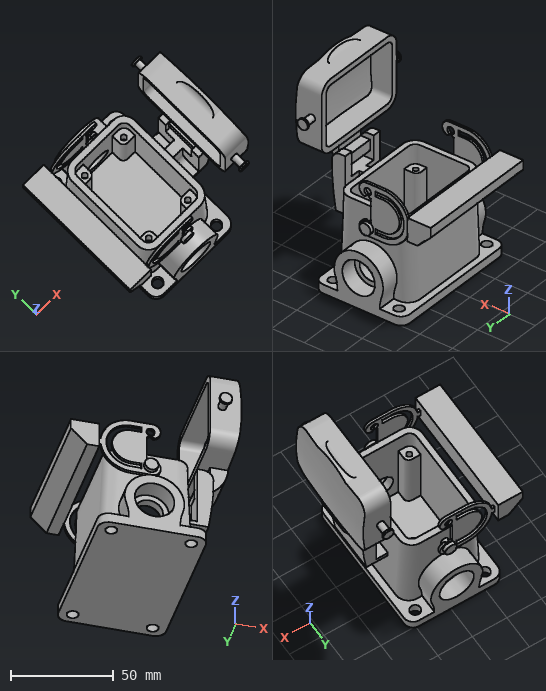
import cadquery as cq
import math


FLANGE_LENGTH_X = 54.5
FLANGE_LENGTH_Y = 82.0
FLANGE_HEIGHT = 5.4
FLANGE_CORNER_RADIUS = 5.4
MOUNT_HOLE_DIAMETER = 5.7
MOUNT_HOLE_X = 20.2
MOUNT_HOLE_Y = 34.9

BOX_TOP_X = 43.1
BOX_BOTTOM_X = 46.7
BOX_Y = 59.9
BOX_CORNER_RADIUS = 7.6
RIM_BASE_Z = 48.6
HOUSING_TOP_Z = 54.0
WALL = 3.5

POST_TOP_Z = 42.4
POST_LENGTH_X = 8.0
POST_LENGTH_Y = 7.6
POST_CORNER_RADIUS = 3.0
POST_HOLE_X = 13.4
POST_HOLE_Y = 22.0
POST_HOLE_DIAMETER = 3.1
POST_HOLE_DEPTH = 11.5

ENTRY_AXIS_Z = 18.2
ENTRY_RADIUS = 15.0
ENTRY_FOOT_HALF_WIDTH = 13.0
ENTRY_BORE_RADIUS = 7.0
ENTRY_COUNTERBORE_RADIUS = 10.0
ENTRY_COUNTERBORE_DEPTH = 9.9

BRACKET_WIDTH = 27.8
BRACKET_FLOOR_BOTTOM_Z = 28.8
BRACKET_FLOOR_TOP_Z = 31.0
RIB_WIDTH = 5.8
RIB_FILLET = 3.9
ARM_FRONT_X = 29.0
ARM_BACK_X = 37.2
ARM_FOOT_X = 34.8
ARM_TOP_Z = 63.0
ARM_TOP_RADIUS = 5.3
HINGE_WIDTH = 17.5

COVER_FRONT_X = 31.2
COVER_BACK_X = 48.0
COVER_CENTER_Z = 91.0
COVER_Y = BOX_Y
COVER_Z = 43.1
COVER_WALL = 3.5
COVER_BACK_WALL = 2.7
DOME_RADIUS_ACROSS_Z = 119.1
DOME_RADIUS_ACROSS_Y = 486.9
COVER_PIN_X = 37.1
COVER_PIN_RADIUS = 2.1
COVER_PIN_HEAD_RADIUS = 3.1
COVER_PIN_HEAD_THICKNESS = 1.1
COVER_PIN_END_Y = 37.3

LIP_TOP_Z = 114.6
LIP_HALF_WIDTH = 12.4
LIP_HOLLOW_START_X = 40.0
LIP_HOLLOW_RADIUS = 4.4

HINGE_ARM_FRONT_X = 36.9
HINGE_ARM_BACK_X = 46.2
HINGE_ARM_MID = (44.1, 61.9)
HINGE_BAR_TOP_Z = 59.7
HINGE_BAR_BOTTOM_Z = 53.3
HINGE_BAR_BACK_X = 36.0

LEVER_CENTER_Z = 54.5
LEVER_PLATE_INNER_Y = 32.3
LEVER_PLATE_THICKNESS = 1.5
LEVER_RADIUS = 15.5
LEVER_ARC_X = -9.7
LEVER_EDGE_X = -2.0
SLOT_OUTER_RADIUS = 12.5
SLOT_INNER_RADIUS = 9.6
SLOT_END_X = -4.6
HOOK_RADIUS = 4.2
HOOK_X = 0.9
HOOK_HOLE_HEIGHT = 10.5
HOOK_MOUTH_OVERLAP = 0.2
HANDLE_WIDTH = 73.8
HANDLE_LEFT_X = -41.0
HANDLE_RIGHT_X = -26.7
HANDLE_TOP_Z = 62.4
HANDLE_BOTTOM_Z = 48.6
HANDLE_CHAMFER = 8.1
TAB_HEIGHT = 4.0

PIVOT_RADIUS = 2.1
PIVOT_HEAD_RADIUS = 3.4
PIVOT_HEAD_END_Y = 36.0

HOOK_TOP_OFFSET = LEVER_RADIUS - HOOK_RADIUS
PIVOT_Z = LEVER_CENTER_Z - HOOK_HOLE_HEIGHT
COVER_TOP_Z = COVER_CENTER_Z + COVER_Z / 2
COVER_BOTTOM_Z = COVER_CENTER_Z - COVER_Z / 2
SIDES = (-1, 1)


def rounded_rectangle(length_x, length_y, radius):
    return cq.Sketch().rect(length_x, length_y).vertices().fillet(radius)


def side_workplane(y):
    """XZ drawing plane at the given Y; extrusions grow toward -Y."""
    return cq.Workplane(cq.Plane((0, y, 0), xDir=(1, 0, 0), normal=(0, -1, 0)))


def across(profile_at, y_min, y_max):
    """Extrude the profile drawn by profile_at(workplane) from y_min to y_max."""
    return profile_at(side_workplane(y_max)).extrude(y_max - y_min)


def y_cylinder(x, z, radius, y_min, y_max):
    return across(lambda plane: plane.center(x, z).circle(radius), y_min, y_max)


def y_box(x_min, x_max, y_min, y_max, z_min, z_max):
    size = (x_max - x_min, y_max - y_min, z_max - z_min)
    return cq.Workplane().box(*size, centered=False).translate((x_min, y_min, z_min))


def mirrored_in_y(shape):
    return shape.union(shape.mirror("XZ"))


def box():
    """Outer block: drafted up to the rim line, then straight up to the top."""
    bottom = rounded_rectangle(BOX_BOTTOM_X, BOX_Y, BOX_CORNER_RADIUS)
    top = rounded_rectangle(BOX_TOP_X, BOX_Y, BOX_CORNER_RADIUS)
    draft_height = RIM_BASE_Z - FLANGE_HEIGHT
    drafted = (
        cq.Workplane().workplane(offset=FLANGE_HEIGHT)
        .placeSketch(bottom, top.moved(cq.Location(cq.Vector(0, 0, draft_height))))
        .loft()
    )
    rim_height = HOUSING_TOP_Z - RIM_BASE_Z
    rim = cq.Workplane().workplane(offset=RIM_BASE_Z).placeSketch(top).extrude(rim_height)
    return drafted.union(rim)


def cavity():
    """Straight-walled opening from the top down to the flange."""
    opening = rounded_rectangle(BOX_TOP_X - 2 * WALL, BOX_Y - 2 * WALL, BOX_CORNER_RADIUS - WALL)
    depth = HOUSING_TOP_Z - FLANGE_HEIGHT
    return cq.Workplane().workplane(offset=FLANGE_HEIGHT).placeSketch(opening).extrude(depth)


def flange():
    outline = rounded_rectangle(FLANGE_LENGTH_X, FLANGE_LENGTH_Y, FLANGE_CORNER_RADIUS)
    plate = cq.Workplane().placeSketch(outline).extrude(FLANGE_HEIGHT)
    return (
        plate.faces(">Z").workplane(origin=(0, 0, FLANGE_HEIGHT))
        .rect(2 * MOUNT_HOLE_X, 2 * MOUNT_HOLE_Y, forConstruction=True)
        .vertices().hole(MOUNT_HOLE_DIAMETER)
    )


def insert_post(side_x, side_y):
    """Corner post with a blind screw hole; it reaches into the wall so that it joins the box."""
    inner_x = BOX_TOP_X / 2 - WALL - POST_LENGTH_X
    inner_y = BOX_Y / 2 - WALL - POST_LENGTH_Y
    outer_x = BOX_TOP_X / 2 - WALL / 2
    outer_y = BOX_Y / 2 - WALL / 2
    post = (
        y_box(inner_x, outer_x, inner_y, outer_y, FLANGE_HEIGHT, POST_TOP_Z)
        .edges("|Z and <X and <Y").fillet(POST_CORNER_RADIUS)
        .edges("|Z and >X and >Y").fillet(BOX_CORNER_RADIUS - WALL)
    )
    hole = (
        cq.Workplane().workplane(offset=POST_TOP_Z - POST_HOLE_DEPTH)
        .center(POST_HOLE_X, POST_HOLE_Y)
        .circle(POST_HOLE_DIAMETER / 2).extrude(POST_HOLE_DEPTH)
    )
    post = post.cut(hole)
    if side_x < 0:
        post = post.mirror("YZ")
    if side_y < 0:
        post = post.mirror("XZ")
    return post


def entry_profile(plane):
    """Round boss outline that runs down into concave flanks, upright where they meet the flange."""
    drop = ENTRY_AXIS_Z - FLANGE_HEIGHT
    foot = ENTRY_FOOT_HALF_WIDTH
    flank_radius = (foot**2 + drop**2 - ENTRY_RADIUS**2) / (2 * (ENTRY_RADIUS - foot))
    tangent_angle = math.asin(drop / (ENTRY_RADIUS + flank_radius))
    tangent_x = ENTRY_RADIUS * math.cos(tangent_angle)
    tangent_z = ENTRY_AXIS_Z - ENTRY_RADIUS * math.sin(tangent_angle)
    flank_mid_x = foot + flank_radius * (1 - math.cos(tangent_angle / 2))
    flank_mid_z = FLANGE_HEIGHT + flank_radius * math.sin(tangent_angle / 2)
    return (
        plane.moveTo(-foot, 0).lineTo(foot, 0).lineTo(foot, FLANGE_HEIGHT)
        .threePointArc((flank_mid_x, flank_mid_z), (tangent_x, tangent_z))
        .threePointArc((0, ENTRY_AXIS_Z + ENTRY_RADIUS), (-tangent_x, tangent_z))
        .threePointArc((-flank_mid_x, flank_mid_z), (-foot, FLANGE_HEIGHT))
        .close()
    )


def cable_entry_bosses():
    return mirrored_in_y(across(entry_profile, BOX_Y / 2 - WALL / 2, FLANGE_LENGTH_Y / 2))


def cable_entry_bores():
    end_y = FLANGE_LENGTH_Y / 2
    bore = y_cylinder(0, ENTRY_AXIS_Z, ENTRY_BORE_RADIUS, 0, end_y)
    counterbore = y_cylinder(
        0, ENTRY_AXIS_Z, ENTRY_COUNTERBORE_RADIUS, end_y - ENTRY_COUNTERBORE_DEPTH, end_y
    )
    return mirrored_in_y(bore.union(counterbore))


def bracket_arm_profile(plane):
    shoulder = ARM_TOP_Z - ARM_TOP_RADIUS
    return (
        plane.moveTo(ARM_FRONT_X, BRACKET_FLOOR_BOTTOM_Z).lineTo(ARM_FRONT_X, ARM_TOP_Z)
        .lineTo(ARM_BACK_X - ARM_TOP_RADIUS, ARM_TOP_Z)
        .tangentArcPoint((ARM_BACK_X, shoulder), relative=False)
        .tangentArcPoint((ARM_FOOT_X, BRACKET_FLOOR_BOTTOM_Z), relative=False)
        .close()
    )


def hinge_bracket():
    """Upright with a slot for the hinge bar, carried by a floor and a rib flaring into it."""
    half_width = BRACKET_WIDTH / 2
    upright = across(bracket_arm_profile, -half_width, half_width)
    slot = y_box(
        ARM_FRONT_X, ARM_BACK_X, -HINGE_WIDTH / 2, HINGE_WIDTH / 2, RIM_BASE_Z, ARM_TOP_Z
    )
    half_rib = RIB_WIDTH / 2
    fillet_end = half_rib + RIB_FILLET
    fillet_top = BRACKET_FLOOR_TOP_Z + RIB_FILLET
    inside_x = BOX_TOP_X / 2 - WALL / 2
    support = (
        cq.Workplane("YZ", origin=(inside_x, 0, 0))
        .moveTo(-half_width, BRACKET_FLOOR_BOTTOM_Z).lineTo(half_width, BRACKET_FLOOR_BOTTOM_Z)
        .lineTo(half_width, BRACKET_FLOOR_TOP_Z).lineTo(fillet_end, BRACKET_FLOOR_TOP_Z)
        .radiusArc((half_rib, fillet_top), RIB_FILLET)
        .lineTo(half_rib, RIM_BASE_Z).lineTo(-half_rib, RIM_BASE_Z).lineTo(-half_rib, fillet_top)
        .radiusArc((-fillet_end, BRACKET_FLOOR_TOP_Z), RIB_FILLET)
        .lineTo(-half_width, BRACKET_FLOOR_TOP_Z).close()
        .extrude(ARM_FRONT_X - inside_x)
    )
    return upright.cut(slot).union(support)


def pivot_pins():
    """Headed pins that carry the lever: shank from the wall through the plate, head outside it."""
    head_start_y = LEVER_PLATE_INNER_Y + LEVER_PLATE_THICKNESS
    shank = y_cylinder(0, PIVOT_Z, PIVOT_RADIUS, BOX_Y / 2 - WALL / 2, head_start_y)
    head = y_cylinder(0, PIVOT_Z, PIVOT_HEAD_RADIUS, head_start_y, PIVOT_HEAD_END_Y)
    return mirrored_in_y(shank.union(head))


def dome(back_x):
    """Barrel about a Y axis whose doubly curved +X side peaks at back_x."""
    axis_x = back_x - DOME_RADIUS_ACROSS_Z
    half_y = COVER_Y
    drop = DOME_RADIUS_ACROSS_Y - math.sqrt(DOME_RADIUS_ACROSS_Y**2 - half_y**2)
    return (
        cq.Workplane("XY", origin=(axis_x, 0, COVER_CENTER_Z))
        .moveTo(0, -half_y).lineTo(DOME_RADIUS_ACROSS_Z - drop, -half_y)
        .threePointArc((DOME_RADIUS_ACROSS_Z, 0), (DOME_RADIUS_ACROSS_Z - drop, half_y))
        .lineTo(0, half_y).close()
        .revolve(360, (0, 0, 0), (0, 1, 0))
    )


def cover_block(inset):
    """Rounded rectangular block along X, shrunk by inset on its four sides."""
    section = rounded_rectangle(COVER_Y - 2 * inset, COVER_Z - 2 * inset, BOX_CORNER_RADIUS - inset)
    return (
        cq.Workplane("YZ", origin=(COVER_FRONT_X, 0, COVER_CENTER_Z))
        .placeSketch(section).extrude(COVER_BACK_X - COVER_FRONT_X)
    )


def finger_lip():
    """Crowned ridge on top of the cover, hollowed in front by a concave finger rest."""
    root_z = COVER_TOP_Z - COVER_WALL
    lip = (
        cq.Workplane("YZ", origin=(LIP_HOLLOW_START_X, 0, 0))
        .moveTo(-LIP_HALF_WIDTH, COVER_TOP_Z)
        .threePointArc((0, LIP_TOP_Z), (LIP_HALF_WIDTH, COVER_TOP_Z))
        .lineTo(LIP_HALF_WIDTH, root_z).lineTo(-LIP_HALF_WIDTH, root_z)
        .close().extrude(COVER_BACK_X - LIP_HOLLOW_START_X)
    )
    hollow = y_cylinder(
        LIP_HOLLOW_START_X, COVER_TOP_Z + LIP_HOLLOW_RADIUS, LIP_HOLLOW_RADIUS,
        -LIP_HALF_WIDTH, LIP_HALF_WIDTH,
    )
    return lip.cut(hollow)


def hinge_arm_profile(plane):
    return (
        plane.moveTo(COVER_FRONT_X, HINGE_BAR_BOTTOM_Z).lineTo(COVER_FRONT_X, HINGE_BAR_TOP_Z)
        .lineTo(HINGE_ARM_FRONT_X, HINGE_BAR_TOP_Z).lineTo(HINGE_ARM_FRONT_X, COVER_BOTTOM_Z)
        .lineTo(HINGE_ARM_BACK_X, COVER_BOTTOM_Z)
        .threePointArc(HINGE_ARM_MID, (HINGE_BAR_BACK_X, HINGE_BAR_BOTTOM_Z))
        .close()
    )


def cover_pins():
    """Headed pins on both sides of the cover, which the lever hooks catch when it is shut."""
    head_start_y = COVER_PIN_END_Y - COVER_PIN_HEAD_THICKNESS
    shank = y_cylinder(
        COVER_PIN_X, COVER_CENTER_Z, COVER_PIN_RADIUS, COVER_Y / 2 - COVER_WALL / 2, head_start_y
    )
    head = y_cylinder(COVER_PIN_X, COVER_CENTER_Z, COVER_PIN_HEAD_RADIUS, head_start_y, COVER_PIN_END_Y)
    return mirrored_in_y(shank.union(head))


def cover():
    shell = cover_block(0).union(finger_lip()).intersect(dome(COVER_BACK_X))
    pocket = cover_block(COVER_WALL).intersect(dome(COVER_BACK_X - COVER_BACK_WALL))
    hinge_arm = across(hinge_arm_profile, -HINGE_WIDTH / 2, HINGE_WIDTH / 2)
    return shell.cut(pocket).union(hinge_arm).union(cover_pins())


def make_housing():
    """Housing with its hinge bracket, lever pins and the cover joined on at the hinge bar."""
    body = flange().union(box()).union(cable_entry_bosses()).union(hinge_bracket())
    body = body.cut(cavity())
    for side_x in SIDES:
        for side_y in SIDES:
            body = body.union(insert_post(side_x, side_y))
    return body.cut(cable_entry_bores()).union(pivot_pins()).union(cover())


def d_profile(plane, radius, straight_end_x):
    """Half disc on the -X side, extended by a straight stretch to straight_end_x."""
    return (
        plane.moveTo(straight_end_x, -radius).lineTo(straight_end_x, radius).lineTo(LEVER_ARC_X, radius)
        .threePointArc((LEVER_ARC_X - radius, 0), (LEVER_ARC_X, -radius))
        .close()
    )


def hook(y_min, y_max):
    """Upper hook, drawn about the lever's own mid-height: rounded nose, pin hole and open mouth."""
    nose_bottom = HOOK_TOP_OFFSET - HOOK_RADIUS
    neck = y_box(LEVER_EDGE_X, HOOK_X, y_min, y_max, nose_bottom, LEVER_RADIUS)
    nose = y_cylinder(HOOK_X, HOOK_TOP_OFFSET, HOOK_RADIUS, y_min, y_max)
    hole = y_cylinder(0, HOOK_HOLE_HEIGHT, PIVOT_RADIUS, y_min, y_max)
    mouth_top = HOOK_HOLE_HEIGHT - PIVOT_RADIUS + HOOK_MOUTH_OVERLAP
    mouth_half_width = mouth_top - nose_bottom
    mouth = across(
        lambda plane: plane.polyline(
            [(0, mouth_top), (-mouth_half_width, nose_bottom), (mouth_half_width, nose_bottom)]
        ).close(),
        y_min, y_max,
    )
    return neck.union(nose), hole.union(mouth)


def lever_plate():
    """+Y side plate: D-shaped with a C-shaped spring slot and a hook at each end."""
    y_min = LEVER_PLATE_INNER_Y
    y_max = y_min + LEVER_PLATE_THICKNESS
    plate = across(lambda plane: d_profile(plane, LEVER_RADIUS, LEVER_EDGE_X), y_min, y_max)
    slot = across(lambda plane: d_profile(plane, SLOT_OUTER_RADIUS, SLOT_END_X), y_min, y_max)
    slot = slot.cut(across(lambda plane: d_profile(plane, SLOT_INNER_RADIUS, SLOT_END_X), y_min, y_max))
    hook_body, hook_opening = hook(y_min, y_max)
    tab = y_box(
        HANDLE_RIGHT_X, LEVER_ARC_X - SLOT_OUTER_RADIUS, y_min, y_max, -TAB_HEIGHT / 2, TAB_HEIGHT / 2
    ).cut(slot)
    plate = plate.cut(slot).union(tab).union(hook_body).union(hook_body.mirror("XY"))
    plate = plate.cut(hook_opening).cut(hook_opening.mirror("XY"))
    return plate.translate((0, 0, LEVER_CENTER_Z))


def handle_profile(plane):
    return plane.polyline([
        (HANDLE_LEFT_X, HANDLE_TOP_Z),
        (HANDLE_RIGHT_X, HANDLE_TOP_Z),
        (HANDLE_RIGHT_X, HANDLE_BOTTOM_Z),
        (HANDLE_LEFT_X + HANDLE_CHAMFER, HANDLE_BOTTOM_Z),
        (HANDLE_LEFT_X, HANDLE_BOTTOM_Z + HANDLE_CHAMFER),
    ]).close()


def make_lever():
    """Locking lever: a handle bar joining two hooked side plates."""
    handle = across(handle_profile, -HANDLE_WIDTH / 2, HANDLE_WIDTH / 2)
    return handle.union(mirrored_in_y(lever_plate()))


housing = make_housing()
lever = make_lever()
result = cq.Compound.makeCompound([housing.val(), lever.val()])